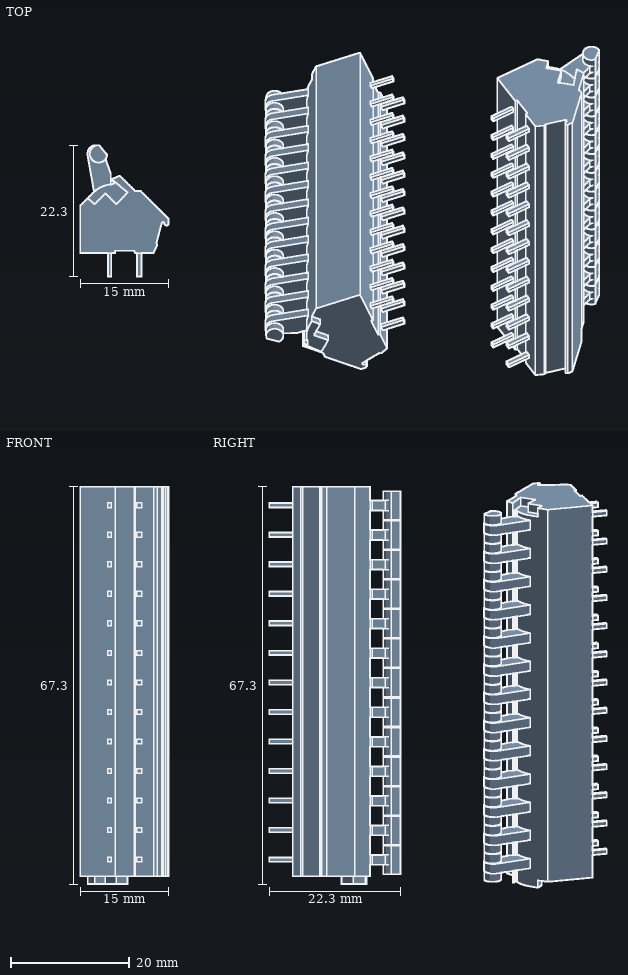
import cadquery as cq

POSITIONS = 13
PITCH = 5.0
END_WALL = 1.0
BODY_LENGTH = POSITIONS * PITCH + END_WALL
FIRST_LEVER_Z = 2.8
FIRST_PIN_Z = 2.85

BODY_WIDTH = 15.0
SIDE_HEIGHT = 8.0
FOOT_WIDTH = 12.45
BEVEL_RUN = 2.3
DOME_START = (BEVEL_RUN, SIDE_HEIGHT + BEVEL_RUN)
DOME_MIDDLE = (3.9, 11.3)
DOME_END = (5.4, 11.65)
NOTCH_ROOT = (5.8, 11.85)
NOTCH_LIP = (5.35, 12.25)
RIDGE_FOOT = (5.35, 12.5)
RIDGE_TOP = (6.7, 13.1)
STEP_START = (9.35, 10.5)
STEP_END = (10.25, 10.5)
NOSE_TOP = (BODY_WIDTH, 5.8)
NOSE_BOTTOM = (BODY_WIDTH, 4.9)
NOSE_TIP_OUTER = (14.75, 4.6)
NOSE_TIP_INNER = (14.4, 4.7)
NOSE_UNDERCUT = (14.1, 5.25)
NOSE_ROOT = (13.85, 5.1)
FOOT_NOTCH = (12.95, 1.7)
FOOT_SHOULDER = (13.1, 1.4)

CHANNEL_LEFT = 5.95
CHANNEL_RIGHT = 9.3
CHANNEL_FLOOR_RIGHT = 9.15
CHANNEL_DEPTH = 0.35

TAB_DEPTH = 1.3
POCKET_DEPTH = 1.5
KEY_BEVEL_OFFSET = 1.3
KEY_LEFT = (KEY_BEVEL_OFFSET, SIDE_HEIGHT + KEY_BEVEL_OFFSET)
KEY_FIRST_VALLEY = (2.45, 8.25)
KEY_PEAK = (4.3, 10.1)
KEY_SECOND_VALLEY = (6.15, 8.25)
KEY_RIGHT = (8.05, 10.25)

PIN_LENGTH = 4.0
PIN_ROOT = 1.0
PIN_DEPTH = 0.8
LEFT_PIN_X = 5.0
LEFT_PIN_WIDTH = 0.6
RIGHT_PIN_X = 10.0
RIGHT_PIN_WIDTH = 0.8

OVERALL_HEIGHT = 22.27
LEVER_TOP = OVERALL_HEIGHT - PIN_LENGTH
ARM_THICKNESS = 1.7
HANDLE_LENGTH = 4.9
HANDLE_RADIUS = 1.48
HANDLE_CENTER = (3.13, LEVER_TOP - HANDLE_RADIUS)
FLAT_TOP = (3.25, LEVER_TOP)
FLAT_BOTTOM = (4.55, 16.65)
ARM_BACK_TOP = (1.25, 16.55)
ARM_BACK_BULGE = (1.55, 17.7)
ARM_CROWN = (2.5, LEVER_TOP)
ARM_NECK = (4.4, 15.7)
ARM_WAIST = (5.2, 13.5)
ARM_FRONT_ROOT = (5.2, 11.0)
ARM_BACK_ROOT = (2.4, 10.0)


def centered_block(x, z, width, bottom, top, thickness):
    return (
        cq.Workplane("XY", origin=(x, (bottom + top) / 2, z))
        .box(width, top - bottom, thickness)
    )


def make_housing():
    return (
        cq.Workplane("XY")
        .moveTo(0, 0)
        .lineTo(0, SIDE_HEIGHT)
        .lineTo(*DOME_START)
        .threePointArc(DOME_MIDDLE, DOME_END)
        .lineTo(*NOTCH_ROOT)
        .lineTo(*NOTCH_LIP)
        .lineTo(*RIDGE_FOOT)
        .lineTo(*RIDGE_TOP)
        .lineTo(*STEP_START)
        .lineTo(*STEP_END)
        .lineTo(*NOSE_TOP)
        .lineTo(*NOSE_BOTTOM)
        .lineTo(*NOSE_TIP_OUTER)
        .lineTo(*NOSE_TIP_INNER)
        .lineTo(*NOSE_UNDERCUT)
        .lineTo(*NOSE_ROOT)
        .lineTo(*FOOT_NOTCH)
        .lineTo(*FOOT_SHOULDER)
        .lineTo(FOOT_WIDTH, 0)
        .lineTo(CHANNEL_RIGHT, 0)
        .lineTo(CHANNEL_FLOOR_RIGHT, CHANNEL_DEPTH)
        .lineTo(CHANNEL_LEFT, CHANNEL_DEPTH)
        .lineTo(CHANNEL_LEFT, 0)
        .close()
        .extrude(BODY_LENGTH)
    )


def make_key(bottom_z, depth):
    return (
        cq.Workplane("XY", origin=(0, 0, bottom_z))
        .moveTo(*KEY_LEFT)
        .lineTo(*KEY_FIRST_VALLEY)
        .lineTo(*KEY_PEAK)
        .lineTo(*KEY_SECOND_VALLEY)
        .lineTo(*KEY_RIGHT)
        .lineTo(*RIDGE_FOOT)
        .lineTo(*NOTCH_LIP)
        .lineTo(*NOTCH_ROOT)
        .lineTo(*DOME_END)
        .threePointArc(DOME_MIDDLE, DOME_START)
        .close()
        .extrude(depth)
    )


def make_pins(z):
    left_pin = centered_block(LEFT_PIN_X, z, LEFT_PIN_WIDTH, -PIN_LENGTH, PIN_ROOT, PIN_DEPTH)
    right_pin = centered_block(RIGHT_PIN_X, z, RIGHT_PIN_WIDTH, -PIN_LENGTH, PIN_ROOT, PIN_DEPTH)
    return left_pin, right_pin


def make_lever(z):
    arm = (
        cq.Workplane("XY", origin=(0, 0, z - ARM_THICKNESS / 2))
        .moveTo(*ARM_BACK_ROOT)
        .lineTo(*ARM_BACK_TOP)
        .threePointArc(ARM_BACK_BULGE, ARM_CROWN)
        .lineTo(*FLAT_TOP)
        .lineTo(*FLAT_BOTTOM)
        .lineTo(*ARM_NECK)
        .lineTo(*ARM_WAIST)
        .lineTo(*ARM_FRONT_ROOT)
        .close()
        .extrude(ARM_THICKNESS)
    )
    handle = (
        cq.Workplane("XY", origin=(0, 0, z - HANDLE_LENGTH / 2))
        .center(*HANDLE_CENTER)
        .circle(HANDLE_RADIUS)
        .extrude(HANDLE_LENGTH)
    )
    beyond_flat = (
        cq.Workplane("XY", origin=(0, 0, z - HANDLE_LENGTH / 2))
        .polyline([FLAT_TOP, FLAT_BOTTOM, (FLAT_BOTTOM[0] + HANDLE_RADIUS, LEVER_TOP)])
        .close()
        .extrude(HANDLE_LENGTH)
    )
    return arm.union(handle.cut(beyond_flat))


pocket = make_key(BODY_LENGTH - POCKET_DEPTH, POCKET_DEPTH)
tab = make_key(-TAB_DEPTH, TAB_DEPTH)
result = make_housing().cut(pocket).union(tab)
for position in range(POSITIONS):
    offset = position * PITCH
    for pin in make_pins(FIRST_PIN_Z + offset):
        result = result.union(pin)
    result = result.union(make_lever(FIRST_LEVER_Z + offset))